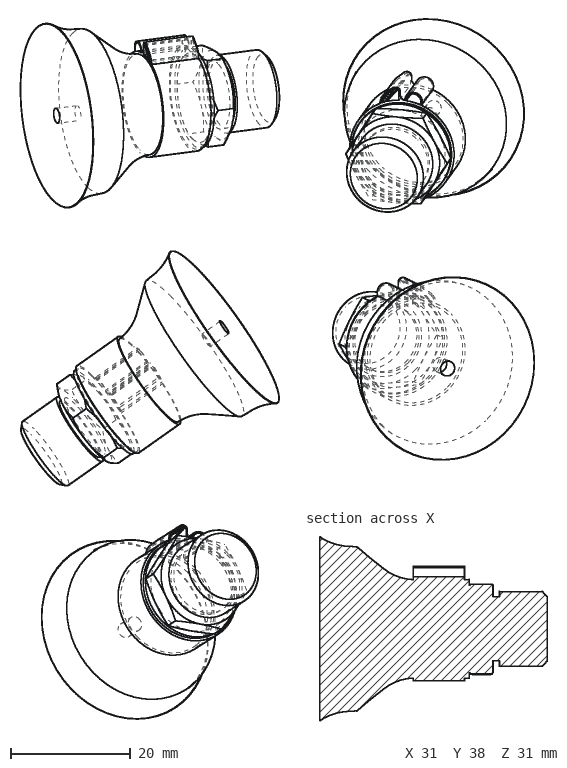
import cadquery as cq
import math

face_y = -19.0
rim_y = -18.27
rim_bevel = 0.08
waist_y = -13.7
shoulder_y = -12.75
neck_blend_y = -8.3
band_front_y = -3.4
band_back_y = 5.2
hex_front_y = 6.0
hex_back_y = 9.95
stud_front_y = 10.98
stud_back_y = 19.0

rim_radius = 15.5
lip_radius = 15.1
waist_radius = 13.95
shoulder_radius = 13.85
neck_blend_radius = 10.25
throat_bulge = 0.45
flare_bulge = 0.25
collar_radius = 17.0 / 2
band_radius = 8.93
relief_radius = 11.45 / 2
stud_radius = 13.15 / 2
stud_chamfer = 0.85
port_diameter = 2.5
port_depth = 3.8

hex_across_corners = 17.35
hex_turn = 1.5
hex_chamfer = 0.57

band_width = band_back_y - band_front_y
sheet = 0.247
seat_radius = 8.75
tube_radius = 3.0 / 2
tube_x = -1.98
tube_z = 8.93
hook_left = 0.25
hook_right = 3.8
hook_top = 11.17
hook_corner_radius = 0.8
hook_corner_z = hook_top - hook_corner_radius
hook_slope = math.radians(40)
hook_bend_x = 2.85
fillet_radius = 0.87
leaf_top = (0.8, 10.68)
leaf_foot = (2.77, 8.35)


def cylinder(radius, start_y, end_y):
    """Solid cylinder on the Y axis."""
    return cq.Workplane("XZ", origin=(0, end_y, 0)).circle(radius).extrude(end_y - start_y)


def band_plane():
    """Section plane at the rear edge of the clamp band; extrusions run forwards."""
    return cq.Workplane("XZ", origin=(0, band_back_y, 0))


def turned_body():
    """Bellows, collar, relief groove and stud as one revolved outline."""
    throat_mid = (collar_radius + throat_bulge, (band_front_y + neck_blend_y) / 2)
    flare_mid = (waist_radius + flare_bulge, (waist_y + rim_y) / 2)
    return (
        cq.Workplane("XY")
        .moveTo(0, face_y)
        .lineTo(rim_radius - rim_bevel, face_y)
        .lineTo(rim_radius, face_y + rim_bevel)
        .lineTo(lip_radius, rim_y)
        .threePointArc(flare_mid, (waist_radius, waist_y))
        .lineTo(shoulder_radius, shoulder_y)
        .lineTo(neck_blend_radius, neck_blend_y)
        .threePointArc(throat_mid, (collar_radius, band_front_y))
        .lineTo(collar_radius, hex_front_y)
        .lineTo(relief_radius, hex_front_y)
        .lineTo(relief_radius, stud_front_y)
        .lineTo(stud_radius, stud_front_y)
        .lineTo(stud_radius, stud_back_y - stud_chamfer)
        .lineTo(stud_radius - stud_chamfer, stud_back_y)
        .lineTo(0, stud_back_y)
        .close()
        .revolve(360, (0, 0, 0), (0, 1, 0))
    )


def hexagon():
    """Hexagon with both ends turned down to the width across flats."""
    height = hex_back_y - hex_front_y
    corner_radius = hex_across_corners / 2
    flat_radius = corner_radius * math.cos(math.radians(30))
    prism = (
        cq.Workplane("XZ", origin=(0, hex_back_y, 0))
        .polygon(6, hex_across_corners)
        .extrude(height)
        .rotate((0, 0, 0), (0, 1, 0), -hex_turn)
    )
    turning = cylinder(corner_radius, hex_front_y, hex_back_y)
    turning = turning.faces("<Y or >Y").chamfer(hex_chamfer, corner_radius - flat_radius)
    return prism.intersect(turning)


def tube_loop():
    """Open round loop on the left of the clamp."""
    return (
        band_plane()
        .center(tube_x, tube_z)
        .circle(tube_radius)
        .circle(tube_radius - sheet)
        .extrude(band_width)
    )


def hook_outline():
    """Closed outline of the taller loop, with rounded left and right shoulders."""
    crest_x = hook_left + hook_corner_radius
    slope_x = crest_x + hook_corner_radius * math.sin(hook_slope)
    slope_z = hook_corner_z + hook_corner_radius * math.cos(hook_slope)
    bend_z = slope_z - (hook_bend_x - slope_x) * math.tan(hook_slope)
    tail_radius = (hook_right - hook_bend_x) / (1 - math.sin(hook_slope))
    tail_z = bend_z - tail_radius * math.cos(hook_slope)
    return (
        band_plane()
        .moveTo(hook_left, tail_z)
        .lineTo(hook_left, hook_corner_z)
        .tangentArcPoint((slope_x, slope_z), relative=False)
        .lineTo(hook_bend_x, bend_z)
        .tangentArcPoint((hook_right, tail_z), relative=False)
        .close()
    )


def hook_loop():
    """Hollow hook with a sloping inner leaf."""
    solid = hook_outline().extrude(band_width)
    hollow = hook_outline().offset2D(-sheet).extrude(band_width)
    leaf = (
        band_plane()
        .polyline([
            leaf_top,
            leaf_foot,
            (leaf_foot[0] + sheet, leaf_foot[1]),
            (leaf_top[0] + sheet, leaf_top[1]),
        ])
        .close()
        .extrude(band_width)
    )
    return solid.cut(hollow).union(leaf.intersect(solid))


def root_fillet():
    """Concave blend from the tube wall up to the left wall of the hook."""
    wall_foot_z = band_radius + fillet_radius
    start_x = tube_x + tube_radius - sheet / 2
    centre_x = hook_left - fillet_radius

    def height_at(x):
        return wall_foot_z - math.sqrt(fillet_radius ** 2 - (x - centre_x) ** 2)

    middle_x = (start_x + hook_left) / 2
    return (
        band_plane()
        .moveTo(start_x, seat_radius)
        .lineTo(start_x, height_at(start_x))
        .threePointArc((middle_x, height_at(middle_x)), (hook_left, wall_foot_z))
        .lineTo(hook_left + sheet, wall_foot_z)
        .lineTo(hook_left + sheet, seat_radius)
        .close()
        .extrude(band_width)
    )


band = cylinder(band_radius, band_front_y, band_back_y)
port = cylinder(port_diameter / 2, face_y, face_y + port_depth)

result = (
    turned_body()
    .union(hexagon())
    .union(band)
    .union(tube_loop())
    .union(hook_loop())
    .union(root_fillet())
    .cut(port)
)